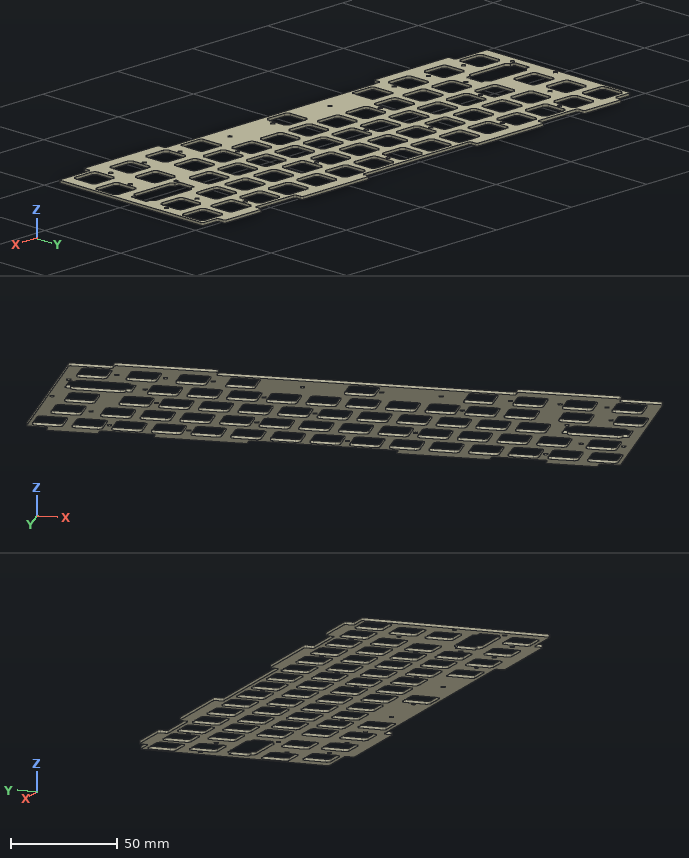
import cadquery as cq

KEY_PITCH = 19.05
GRID_COLUMNS = 15
GRID_ROWS = 5
EDGE_CLEARANCE = 0.1

PLATE_THICKNESS = 1.5
PLATE_LENGTH = GRID_COLUMNS * KEY_PITCH - 2 * EDGE_CLEARANCE
PLATE_DEPTH = GRID_ROWS * KEY_PITCH - 2 * EDGE_CLEARANCE
OUTLINE_RADIUS = 1.0

TAB_REACH = 4.6
CORNER_TAB_LENGTH = 25.0
CORNER_TAB_OFFSET = 120.0
REAR_TAB_LENGTH = 45.0
REAR_TAB_OFFSET = 58.3
REAR_TAB_SHIFT = 0.2
FRONT_TAB_LENGTH = 50.0
FRONT_TAB_OFFSET = 96.8

SWITCH_LENGTH = 14.7
SWITCH_DEPTH = 14.1
SWITCH_RADIUS = 2.1
NARROW_SWITCH_LENGTH = 14.0
NARROW_SWITCH_RADIUS = 1.0

WIDE_MIDDLE_LENGTH = 26.5
WIDE_LENGTH = 32.0
WIDE_END_DEPTH = 10.0
WIDE_END_RADIUS = 0.5

HOLE_DIAMETER = 2.0

SWITCH_COLUMNS = [
    [0.5 + i for i in range(GRID_COLUMNS)],
    [0.75] + [2 + i for i in range(12)] + [14.25],
    [0.875] + [2.25 + i for i in range(11)],
    [2.75 + i for i in range(10)] + [13.125, 14.5],
    [0.75, 2, 3.25, 7.5, 11.75, 13, 14.25],
]
WIDE_KEYS = [(13.875, 2), (1.125, 3)]
NARROW_SWITCHES = [(4.5, 4), (10.5, 4)]

OUTER_HOLE_COLUMN = 1.32
HOLE_COLUMNS = [
    [2, 4, 8, 13],
    [OUTER_HOLE_COLUMN, 5.5, 9.5, GRID_COLUMNS - OUTER_HOLE_COLUMN, 14.75],
    [0.12, 2.75, 6.75],
    [2.25, 5.25, 10.25, 14],
    [OUTER_HOLE_COLUMN, 2.55, 3.75, 6, 8, 9.5, 11.25, 12.5, GRID_COLUMNS - OUTER_HOLE_COLUMN],
]
CORNER_HOLES = [(13.02, 2.39), (0.24, 3.375)]


def grid_point(column, row):
    """XY position of a point of the key grid; whole rows are row centrelines."""
    x = (column - GRID_COLUMNS / 2) * KEY_PITCH
    y = ((GRID_ROWS - 1) / 2 - row) * KEY_PITCH
    return x, y


def row_points(columns_by_row):
    return [
        grid_point(column, row)
        for row, columns in enumerate(columns_by_row)
        for column in columns
    ]


def tab_pair(length, offset, edge_y, shift=0):
    """Two equal tabs on the long edge at edge_y, offset to each side of X = shift."""
    return (
        cq.Workplane("XY")
        .pushPoints([(shift - offset, edge_y), (shift + offset, edge_y)])
        .rect(length, 2 * TAB_REACH)
        .extrude(PLATE_THICKNESS)
    )


def make_plate():
    rear_y = PLATE_DEPTH / 2
    plate = cq.Workplane("XY").rect(PLATE_LENGTH, PLATE_DEPTH).extrude(PLATE_THICKNESS)
    plate = plate.union(tab_pair(CORNER_TAB_LENGTH, CORNER_TAB_OFFSET, rear_y, REAR_TAB_SHIFT))
    plate = plate.union(tab_pair(REAR_TAB_LENGTH, REAR_TAB_OFFSET, rear_y, REAR_TAB_SHIFT))
    plate = plate.union(tab_pair(FRONT_TAB_LENGTH, FRONT_TAB_OFFSET, -rear_y))
    return plate.edges("|Z").fillet(OUTLINE_RADIUS)


def rounded_openings(centres, length, depth, radius):
    outline = cq.Sketch().rect(length, depth).vertices().fillet(radius)
    return cq.Workplane("XY").pushPoints(centres).placeSketch(outline).extrude(PLATE_THICKNESS)


def switch_openings():
    regular = rounded_openings(row_points(SWITCH_COLUMNS), SWITCH_LENGTH, SWITCH_DEPTH, SWITCH_RADIUS)
    narrow_centres = [grid_point(column, row) for column, row in NARROW_SWITCHES]
    narrow = rounded_openings(narrow_centres, NARROW_SWITCH_LENGTH, SWITCH_DEPTH, NARROW_SWITCH_RADIUS)
    return regular.union(narrow)


def wide_openings():
    centres = [grid_point(column, row) for column, row in WIDE_KEYS]
    middles = rounded_openings(centres, WIDE_MIDDLE_LENGTH, SWITCH_DEPTH, SWITCH_RADIUS)
    ends = rounded_openings(centres, WIDE_LENGTH, WIDE_END_DEPTH, WIDE_END_RADIUS)
    return middles.union(ends)


def screw_holes():
    centres = row_points(HOLE_COLUMNS)
    centres += [grid_point(column, row) for column, row in CORNER_HOLES]
    return (
        cq.Workplane("XY")
        .pushPoints(centres)
        .circle(HOLE_DIAMETER / 2)
        .extrude(PLATE_THICKNESS)
    )


result = make_plate().cut(switch_openings()).cut(wide_openings()).cut(screw_holes())